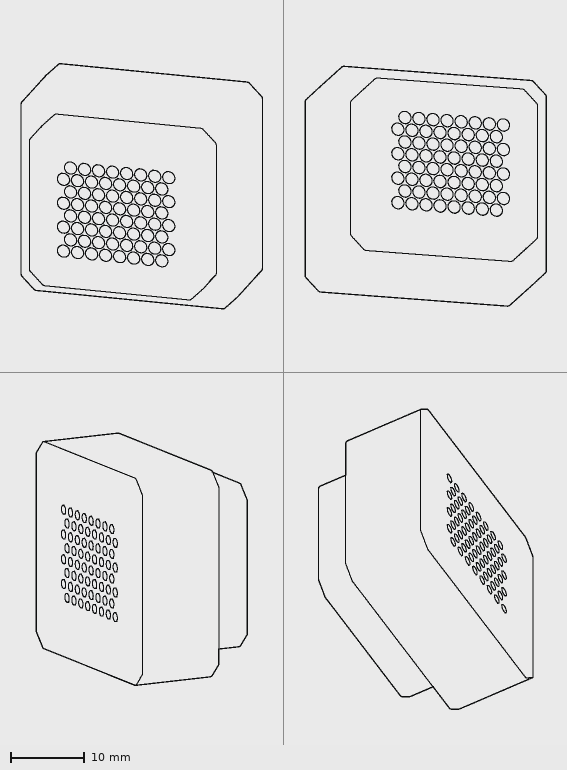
import cadquery as cq
import math

body_width = 31.0
body_height = 29.0
body_depth = 12.0
boss_depth = 6.0
total_depth = body_depth + boss_depth

ledge = 3.0
boss_width = body_width - 2 * ledge
boss_height = body_height - 2 * ledge

corner_cut = 2.0
edge_radius = 0.5

rows = 8
holes_per_row = 8
row_length = 14.0
hole_pitch = row_length / (holes_per_row - 1)
row_pitch = hole_pitch * math.sqrt(3) / 2
row_shift = hole_pitch / 4
hole_diameter = 1.25
hole_mouth_diameter = 1.75
hole_taper_depth = 2.0


def block(width, height, depth, back_y):
    """Block running toward -Y, with cut corners and rounded front and corner edges."""
    blank = cq.Workplane("XZ", origin=(0, back_y, 0)).rect(width, height).extrude(depth)
    cut = blank.edges("|Y").chamfer(corner_cut)
    return cut.edges("|Y or <Y").fillet(edge_radius)


def hole_centres():
    """Centres (X, Z) of the holes; successive rows shift to opposite sides."""
    centres = []
    for row in range(rows):
        z = (row - (rows - 1) / 2) * row_pitch
        shift = -row_shift if row % 2 == 0 else row_shift
        for column in range(holes_per_row):
            x = (column - (holes_per_row - 1) / 2) * hole_pitch + shift
            centres.append((x, z))
    return centres


def hole_cutter():
    """Through hole on the Y axis: tapered in from the front face, then straight."""
    radius = hole_diameter / 2
    mouth_radius = hole_mouth_diameter / 2
    front_y = -total_depth
    profile = [
        (0, 0),
        (0, -radius),
        (front_y + hole_taper_depth, -radius),
        (front_y, -mouth_radius),
        (front_y, 0),
    ]
    return cq.Workplane("YZ").polyline(profile).close().revolve(360, (0, 0, 0), (1, 0, 0))


body = block(body_width, body_height, body_depth, 0)
boss = block(boss_width, boss_height, boss_depth, -body_depth)

cutter = hole_cutter().val()
cutters = [cutter.moved(cq.Location(cq.Vector(x, 0, z))) for x, z in hole_centres()]
perforation = cq.Workplane("XY").newObject([cq.Compound.makeCompound(cutters)])

result = body.union(boss).cut(perforation)